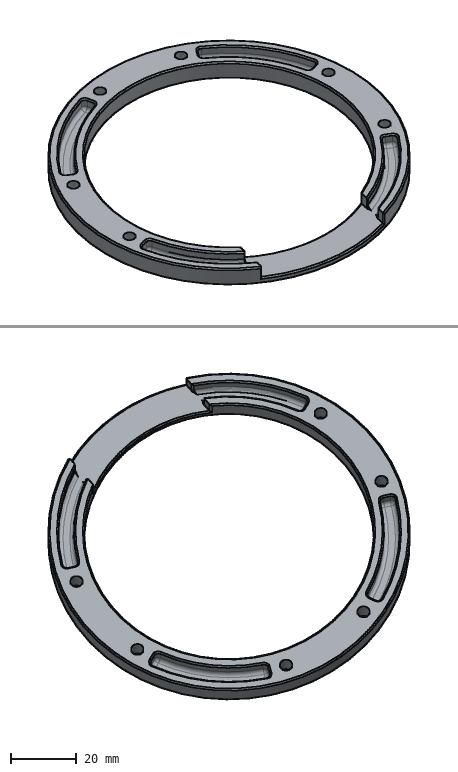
import cadquery as cq
import math

outer_radius = 55.0
inner_radius = 44.0
middle_radius = (outer_radius + inner_radius) / 2
height = 6.0
edge_chamfer = 0.5

floor_height = 2.0
step_width = 45.0

hole_diameter = 3.7
hole_offset_angle = 17.6
hole_axis_angles = (90, 180, 270)

pocket_width = 4.7
pocket_half_angle = 21.1
pocket_corner_radius = 1.3
pocket_floor_fillet = 1.3
pocket_angles = (45, 135, 225, 315)


def polar(radius, angle):
    """Point at a radius and an angle in degrees."""
    radians = math.radians(angle)
    return (radius * math.cos(radians), radius * math.sin(radians))


def stepped_ring():
    """Flat ring with its +X side lowered between two walls parallel to X."""
    ring = cq.Workplane("XY").circle(outer_radius).circle(inner_radius).extrude(height)
    step = (
        cq.Workplane("XY", origin=(0, 0, floor_height))
        .box(outer_radius, step_width, height, centered=(False, True, False))
    )
    return ring.cut(step)


def pocket(centre_angle):
    """Cutter for a pocket with radial ends, rounded corners and a rounded floor edge."""
    inner = middle_radius - pocket_width / 2
    outer = middle_radius + pocket_width / 2
    start = centre_angle - pocket_half_angle
    end = centre_angle + pocket_half_angle
    body = (
        cq.Workplane("XY", origin=(0, 0, floor_height))
        .moveTo(*polar(inner, start))
        .lineTo(*polar(outer, start))
        .threePointArc(polar(outer, centre_angle), polar(outer, end))
        .lineTo(*polar(inner, end))
        .threePointArc(polar(inner, centre_angle), polar(inner, start))
        .close()
        .extrude(height)
    )
    body = body.edges("|Z").fillet(pocket_corner_radius)
    return body.faces("<Z").edges().fillet(pocket_floor_fillet)


def chamfer_upper_edges(body):
    """Chamfer the outlines of the top and the step floor, the pocket rims and the step wall corners.

    The wall corners carry the chamfer on down the rounded pocket floor edges, which they meet tangentially.
    The straight edges along the top and foot of the step walls stay sharp.
    """
    top_outlines = body.faces(">Z").edges("not |X")
    wall_corners = body.faces("|Y").edges("|Z")
    floor_outlines = body.edges("%CIRCLE").filter(
        lambda edge: math.isclose(edge.startPoint().z, floor_height)
        and any(math.isclose(edge.radius(), radius) for radius in (inner_radius, outer_radius))
    )
    return top_outlines.add(wall_corners).add(floor_outlines).chamfer(edge_chamfer)


def screw_holes():
    """Cutter for the screw holes through the ring."""
    centres = [
        polar(middle_radius, axis_angle + side * hole_offset_angle)
        for axis_angle in hole_axis_angles
        for side in (-1, 1)
    ]
    return cq.Workplane("XY").pushPoints(centres).circle(hole_diameter / 2).extrude(height)


result = stepped_ring()
for pocket_angle in pocket_angles:
    result = result.cut(pocket(pocket_angle))
result = chamfer_upper_edges(result).cut(screw_holes())